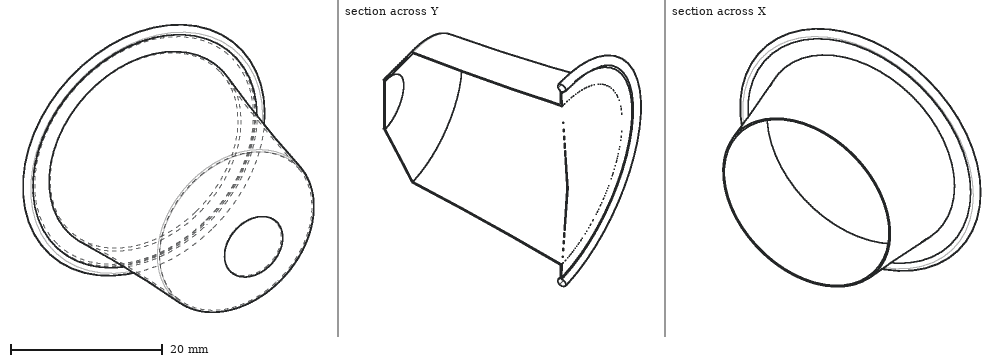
import cadquery as cq
import math

LENGTH = 29.15
RIM_RADIUS = 18.5
ROLL_RADIUS = 0.65
WALL = 0.3
LID_RADIUS = 16.85
LID_BULGE = 1.05
MOUTH_RADIUS = 28.9 / 2
SHOULDER_X = 24.68
SHOULDER_RADIUS = 12.02
SHOULDER_FILLET = 0.37
WAIST_X = 12.85
WAIST_RADIUS = 13.17
END_RADIUS = 4.48

FLANGE_X = LID_BULGE
FLANGE_BACK_X = FLANGE_X + WALL
ROLL_CENTER_RADIUS = RIM_RADIUS - ROLL_RADIUS
CONE_ANGLE = math.atan2(SHOULDER_RADIUS - END_RADIUS, LENGTH - SHOULDER_X)


def revolve_about_x(profile):
    """Turn a closed XY outline, with Y as radius, about the X axis."""
    return profile.revolve(360, (0, 0, 0), (1, 0, 0))


def make_outer_cup():
    """Solid of the flange, curved side and conical end."""
    profile = (
        cq.Workplane("XY")
        .moveTo(FLANGE_X, 0)
        .lineTo(FLANGE_X, ROLL_CENTER_RADIUS)
        .lineTo(FLANGE_BACK_X, ROLL_CENTER_RADIUS)
        .lineTo(FLANGE_BACK_X, MOUTH_RADIUS + WALL)
        .threePointArc((WAIST_X, WAIST_RADIUS), (SHOULDER_X, SHOULDER_RADIUS))
        .lineTo(LENGTH, END_RADIUS)
        .lineTo(LENGTH, 0)
        .close()
    )
    shoulder = cq.selectors.BoxSelector(
        (SHOULDER_X - WALL, -RIM_RADIUS, -RIM_RADIUS),
        (SHOULDER_X + WALL, RIM_RADIUS, RIM_RADIUS),
    )
    shoulder_edges = shoulder & cq.selectors.TypeSelector("CIRCLE")
    return revolve_about_x(profile).edges(shoulder_edges).fillet(SHOULDER_FILLET)


def make_cavity():
    """Hollow of the cup, one wall thickness inside the side and the end."""
    inner_end_x = LENGTH - WALL
    inner_shoulder_radius = SHOULDER_RADIUS - WALL
    cone_shift = WALL / math.sin(CONE_ANGLE)
    inner_shoulder_x = SHOULDER_X - cone_shift + WALL / math.tan(CONE_ANGLE)
    inner_end_radius = END_RADIUS - (cone_shift - WALL) * math.tan(CONE_ANGLE)
    profile = (
        cq.Workplane("XY")
        .moveTo(FLANGE_X, 0)
        .lineTo(FLANGE_X, MOUTH_RADIUS)
        .threePointArc((WAIST_X, WAIST_RADIUS - WALL), (inner_shoulder_x, inner_shoulder_radius))
        .lineTo(inner_end_x, inner_end_radius)
        .lineTo(inner_end_x, 0)
        .close()
    )
    return revolve_about_x(profile)


def make_rolled_rim():
    """Round bead along the outer edge of the flange."""
    profile = cq.Workplane("XY").center(FLANGE_X, ROLL_CENTER_RADIUS).circle(ROLL_RADIUS)
    return profile.revolve(360, (-FLANGE_X, -ROLL_CENTER_RADIUS, 0), (0.37 - FLANGE_X, -ROLL_CENTER_RADIUS, 0))


def make_cup():
    """Thin-walled cup with its flange and rolled rim."""
    return make_outer_cup().cut(make_cavity()).union(make_rolled_rim())


def make_lid():
    """Domed foil lid seated on the flange around the mouth."""
    sphere_radius = (LID_RADIUS**2 + LID_BULGE**2) / (2 * LID_BULGE)
    inner_sphere_radius = math.hypot(sphere_radius - LID_BULGE, MOUTH_RADIUS)

    def dome_point(radius, dome_radius):
        return sphere_radius - math.sqrt(dome_radius**2 - radius**2), radius

    inner_apex_x = sphere_radius - inner_sphere_radius
    profile = (
        cq.Workplane("XY")
        .moveTo(0, 0)
        .threePointArc(dome_point(LID_RADIUS / 2, sphere_radius), (FLANGE_X, LID_RADIUS))
        .lineTo(FLANGE_X, MOUTH_RADIUS)
        .threePointArc(dome_point(MOUTH_RADIUS / 2, inner_sphere_radius), (inner_apex_x, 0))
        .close()
    )
    return revolve_about_x(profile)


cup = make_cup()
lid = make_lid()
result = cq.Compound.makeCompound([cup.solids().val(), lid.solids().val()])